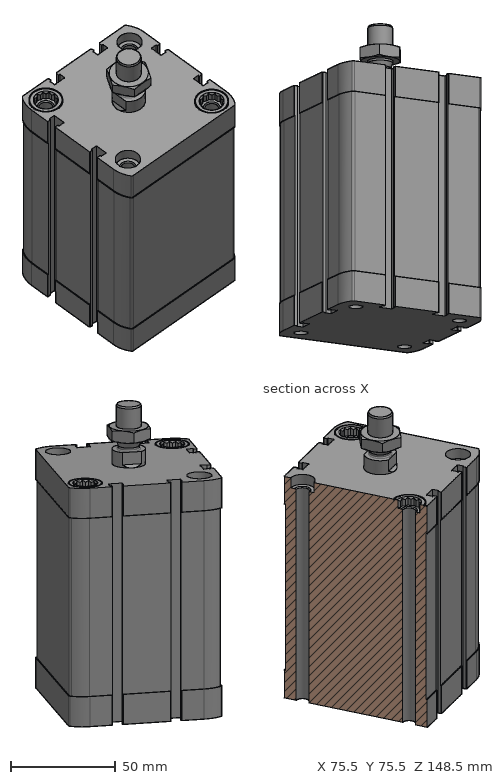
import cadquery as cq
import math


TOTAL_HEIGHT = 148.5

CAP_WIDTH = 75.5
CAP_HEIGHT = 15.0
BARREL_INSET = 0.5
HOUSING_HEIGHT = 118.8
CORNER_ARC_RADIUS = 16.2
CAP_EDGE_RADIUS = 1.2
BARREL_EDGE_RADIUS = 1.8

SLOT_OFFSET = 14.4
SLOT_NECK_WIDTH = 5.0
SLOT_WIDTH = 6.7
SLOT_NECK_DEPTH = 2.0
SLOT_DEPTH = 5.2
SLOT_LIP_CHAMFER = 0.3
SLOTTED_FACE_ANGLES = (0, 180, 270)

SCREW_OFFSET = 28.0
SCREW_BORE_DIAMETER = 6.7
SCREW_SINK_DIAMETER = 8.0
SCREW_SINK_DEPTH = 0.5
SCREW_RECESS_DIAMETER = 12.0
SCREW_RECESS_DEPTH = 5.3
SOCKET_ACROSS_FLATS = 10.0
SOCKET_DEPTH = 4.5
SOCKET_MOUTH_DIAMETER = 12.0
SOCKET_MOUTH_DEPTH = 1.3
COLLAR_DIAMETER = 16.3
COLLAR_INNER_DIAMETER = 15.5
COLLAR_GROOVE_DEPTH = 0.7

ROD_DIAMETER = 16.0
ROD_BOTTOM_Z = HOUSING_HEIGHT - CAP_HEIGHT
ROD_SHOULDER_Z = 126.2
ROD_FLATS_WIDTH = 13.0
ROD_FLATS_Z = 120.1
THREAD_DIAMETER = 12.0
THREAD_TIP_HEIGHT = 0.9
THREAD_TIP_INSET = 0.5
THREAD_END_Z = 130.4
UNDERCUT_DIAMETER = 10.2
UNDERCUT_TOP_Z = 127.9
UNDERCUT_FILLET = 0.6

NUT_ACROSS_FLATS = 19.0
NUT_HEIGHT = 6.1
NUT_BOTTOM_Z = 131.4
NUT_CHAMFER_DIAMETER = 18.7
NUT_CHAMFER_ANGLE = math.radians(20)


def housing_layer(inset, edge_radius, bottom, height):
    """Prism whose four corners are large arcs, tangent to the front and back faces."""
    half = CAP_WIDTH / 2 - inset
    radius = CORNER_ARC_RADIUS - inset
    arc_run = half - SCREW_OFFSET

    def arc_point(distance):
        drop = radius - math.sqrt(radius**2 - distance**2)
        return SCREW_OFFSET + distance, half - drop

    mid_x, mid_y = arc_point(arc_run / 2)
    end_x, end_y = arc_point(arc_run)
    outline = (
        cq.Workplane("XY", origin=(0, 0, bottom))
        .moveTo(-SCREW_OFFSET, half)
        .lineTo(SCREW_OFFSET, half)
        .threePointArc((mid_x, mid_y), (end_x, end_y))
        .lineTo(end_x, -end_y)
        .threePointArc((mid_x, -mid_y), (SCREW_OFFSET, -half))
        .lineTo(-SCREW_OFFSET, -half)
        .threePointArc((-mid_x, -mid_y), (-end_x, -end_y))
        .lineTo(-end_x, end_y)
        .threePointArc((-mid_x, mid_y), (-SCREW_OFFSET, half))
        .close()
    )
    prism = outline.extrude(height)
    return prism.edges("|Z").edges("<X or >X").fillet(edge_radius)


def slot_cutter(face_angle, offset):
    """T-slot along Z in the face turned by face_angle from the front face."""
    face = -CAP_WIDTH / 2
    half_neck = SLOT_NECK_WIDTH / 2
    half_mouth = half_neck + SLOT_LIP_CHAMFER
    right_side = [
        (half_mouth, face),
        (half_neck, face + SLOT_LIP_CHAMFER),
        (half_neck, face + SLOT_NECK_DEPTH),
        (SLOT_WIDTH / 2, face + SLOT_NECK_DEPTH),
        (SLOT_WIDTH / 2, face + SLOT_DEPTH),
    ]
    left_side = [(-x, y) for x, y in reversed(right_side)]
    return (
        cq.Workplane("XY")
        .polyline(right_side + left_side)
        .close()
        .extrude(HOUSING_HEIGHT)
        .translate((offset, 0, 0))
        .rotate((0, 0, 0), (0, 0, 1), face_angle)
    )


def cone(top_z, top_diameter, bottom_diameter, height):
    """Vertical frustum hanging down from top_z."""
    axis_down = cq.Vector(0, 0, -1)
    top_centre = cq.Vector(0, 0, top_z)
    return cq.Workplane(
        cq.Solid.makeCone(top_diameter / 2, bottom_diameter / 2, height, top_centre, axis_down)
    )


def screw_bore_cutter(recess_depth):
    """Through bore with a countersink at the floor of the recess."""
    floor_z = HOUSING_HEIGHT - recess_depth
    bore = cq.Workplane("XY").circle(SCREW_BORE_DIAMETER / 2).extrude(floor_z)
    return bore.union(cone(floor_z, SCREW_SINK_DIAMETER, SCREW_BORE_DIAMETER, SCREW_SINK_DEPTH))


def top_plane(depth):
    """Horizontal workplane at a depth below the top of the housing."""
    return cq.Workplane("XY", origin=(0, 0, HOUSING_HEIGHT - depth))


def plain_hole_cutter():
    recess = top_plane(SCREW_RECESS_DEPTH).circle(SCREW_RECESS_DIAMETER / 2).extrude(SCREW_RECESS_DEPTH)
    return recess.union(screw_bore_cutter(SCREW_RECESS_DEPTH))


def socket_hole_cutter():
    """Twelve-point socket with a conical mouth, and the V-groove around it."""
    across_corners = SOCKET_ACROSS_FLATS / math.cos(math.pi / 6)
    hexagon = top_plane(SOCKET_DEPTH).polygon(6, across_corners).extrude(SOCKET_DEPTH)
    turned_hexagon = hexagon.rotate((0, 0, 0), (0, 0, 1), 30)
    mouth = cone(HOUSING_HEIGHT, SOCKET_MOUTH_DIAMETER, SOCKET_ACROSS_FLATS, SOCKET_MOUTH_DEPTH)
    groove_outer = top_plane(COLLAR_GROOVE_DEPTH).circle(COLLAR_DIAMETER / 2).extrude(COLLAR_GROOVE_DEPTH)
    collar_edge = cone(HOUSING_HEIGHT, COLLAR_INNER_DIAMETER, COLLAR_DIAMETER, COLLAR_GROOVE_DEPTH)
    groove = groove_outer.cut(collar_edge)
    socket = hexagon.union(turned_hexagon).union(mouth)
    return socket.union(screw_bore_cutter(SOCKET_DEPTH)).union(groove)


def make_housing():
    upper_cap_z = HOUSING_HEIGHT - CAP_HEIGHT
    barrel_height = upper_cap_z - CAP_HEIGHT
    body = (
        housing_layer(0, CAP_EDGE_RADIUS, 0, CAP_HEIGHT)
        .union(housing_layer(BARREL_INSET, BARREL_EDGE_RADIUS, CAP_HEIGHT, barrel_height))
        .union(housing_layer(0, CAP_EDGE_RADIUS, upper_cap_z, CAP_HEIGHT))
    )
    for face_angle in SLOTTED_FACE_ANGLES:
        for side in (-1, 1):
            body = body.cut(slot_cutter(face_angle, side * SLOT_OFFSET))
    for x_side in (-1, 1):
        for y_side in (-1, 1):
            place = (x_side * SCREW_OFFSET, y_side * SCREW_OFFSET, 0)
            hole = socket_hole_cutter() if x_side == y_side else plain_hole_cutter()
            body = body.cut(hole.translate(place))
    rod_guide = top_plane(CAP_HEIGHT).circle(ROD_DIAMETER / 2).extrude(CAP_HEIGHT)
    return body.cut(rod_guide)


def flat_cutter():
    """Wrench flat on the front of the rod, ending below in a 45 degree slope."""
    flat = ROD_FLATS_WIDTH / 2
    edge = ROD_DIAMETER / 2
    return (
        cq.Workplane("YZ")
        .moveTo(-flat, ROD_SHOULDER_Z)
        .lineTo(-flat, ROD_FLATS_Z)
        .lineTo(-edge, ROD_FLATS_Z - (edge - flat))
        .lineTo(-edge, ROD_SHOULDER_Z)
        .close()
        .extrude(edge, both=True)
    )


def make_piston_rod():
    rod_r = ROD_DIAMETER / 2
    thread_r = THREAD_DIAMETER / 2
    undercut_r = UNDERCUT_DIAMETER / 2
    fillet_mid = UNDERCUT_FILLET * (1 - math.sqrt(0.5))
    rod = (
        cq.Workplane("XZ")
        .moveTo(0, ROD_BOTTOM_Z)
        .lineTo(rod_r, ROD_BOTTOM_Z)
        .lineTo(rod_r, ROD_SHOULDER_Z)
        .lineTo(undercut_r + UNDERCUT_FILLET, ROD_SHOULDER_Z)
        .threePointArc(
            (undercut_r + fillet_mid, ROD_SHOULDER_Z + fillet_mid),
            (undercut_r, ROD_SHOULDER_Z + UNDERCUT_FILLET),
        )
        .lineTo(undercut_r, UNDERCUT_TOP_Z)
        .lineTo(thread_r, THREAD_END_Z)
        .lineTo(thread_r, TOTAL_HEIGHT - THREAD_TIP_HEIGHT)
        .lineTo(thread_r - THREAD_TIP_INSET, TOTAL_HEIGHT)
        .lineTo(0, TOTAL_HEIGHT)
        .close()
        .revolve(360, (0, 0, 0), (0, 1, 0))
    )
    front_flat = flat_cutter()
    return rod.cut(front_flat).cut(front_flat.mirror("XZ"))


def make_nut():
    across_corners = NUT_ACROSS_FLATS / math.cos(math.pi / 6)
    corner_r = across_corners / 2
    face_r = NUT_CHAMFER_DIAMETER / 2
    chamfer_height = (corner_r - face_r) * math.tan(NUT_CHAMFER_ANGLE)
    hexagon = cq.Workplane("XY").polygon(6, across_corners).extrude(NUT_HEIGHT)
    chamfer_envelope = (
        cq.Workplane("XZ")
        .moveTo(0, 0)
        .lineTo(face_r, 0)
        .lineTo(corner_r, chamfer_height)
        .lineTo(corner_r, NUT_HEIGHT - chamfer_height)
        .lineTo(face_r, NUT_HEIGHT)
        .lineTo(0, NUT_HEIGHT)
        .close()
        .revolve(360, (0, 0, 0), (0, 1, 0))
    )
    thread_hole = cq.Workplane("XY").circle(THREAD_DIAMETER / 2).extrude(NUT_HEIGHT)
    return (
        hexagon.rotate((0, 0, 0), (0, 0, 1), 30)
        .intersect(chamfer_envelope)
        .cut(thread_hole)
        .translate((0, 0, NUT_BOTTOM_Z))
    )


housing = make_housing()
piston_rod = make_piston_rod()
nut = make_nut()

result = cq.Compound.makeCompound([housing.val(), piston_rod.val(), nut.val()])